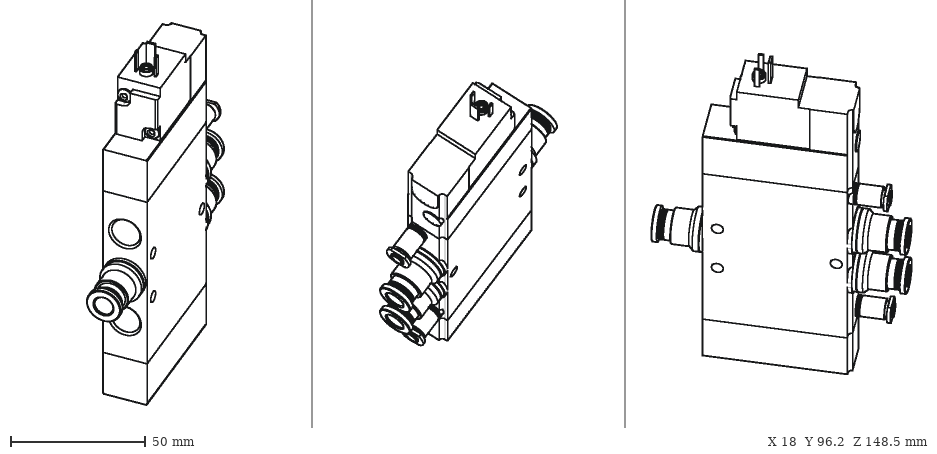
import cadquery as cq
import math


WIDTH = 18.0
DEPTH = 56.3
BLOCK_HEIGHT = 113.0
CAP_HEIGHT = 19.2
BODY_TOP = BLOCK_HEIGHT - CAP_HEIGHT
MID_Z = BLOCK_HEIGHT / 2
NOTCH_WIDTH = 2.8
NOTCH_DEPTH = 1.5
BOTTOM_CHAMFER = 0.5
TOP_CHAMFER = 0.3

PORT_PITCH = 20.0
PORT_DIAMETER = 11.5
PORT_RIM_DIAMETER = 13.2
PORT_RIM_DEPTH = 0.9
PORT_DEPTH = 13.4
MOUNT_DIAMETER = 4.5
FRONT_MOUNT_Y = 5.6
REAR_MOUNT_Y = 50.6
SEAT_DIAMETER = 18.1
SEAT_HEIGHT = 0.1

LARGE_LENGTH = 19.9
LARGE_FLANGE_DIAMETER = 17.0
LARGE_FLANGE_HEIGHT = 4.0
LARGE_GROOVE_DIAMETER = 16.3
LARGE_GROOVE_Y = 1.5
GROOVE_LENGTH = 0.3
LARGE_CONE_TOP = 5.6
LARGE_BARREL_DIAMETER = 13.8
LARGE_BARREL_TOP = 12.8
LARGE_BARREL_CHAMFER = 0.3
LARGE_NECK_DIAMETER = 11.5
LARGE_RIB_ROOT_DIAMETER = 10.7
LARGE_RIB_START = 15.5
LARGE_RIB_PITCH = 0.6
LARGE_RIB_COUNT = 3
LARGE_RING_DIAMETER = 13.8
LARGE_RING_START = 17.8
LARGE_RING_CHAMFER = 0.3
LARGE_BORE = 7.4
LARGE_BORE_MOUTH = 8.3
LARGE_BORE_DEPTH = 11.9
LARGE_INNER_BORE = 6.0
LARGE_INNER_BORE_DEPTH = 14.8

SMALL_DIAMETER = 8.0
SMALL_NECK_DIAMETER = 5.6
SMALL_LENGTH = 14.0
SMALL_BARREL_TOP = 10.8
SMALL_SPIGOT = NOTCH_DEPTH
SMALL_RING_WIDTH = 10.1
SMALL_RING_HEIGHT = 7.9
SMALL_RING_START = 12.0
SMALL_RING_END = 13.4
SMALL_GROOVE_STARTS = (0.5, 1.3)
SMALL_GROOVE_DEPTH = 0.22
SMALL_BORE = 4.2
SMALL_BORE_DEPTH = 8.9
SMALL_OFFSET_X = 3.3
SMALL_OFFSET_Z = 31.8

PILOT_CLEARANCE = 0.1
PILOT_TOP = 134.0
PILOT_SPLIT_Y = 40.5
PLUG_WIDTH = 17.4
PLUG_GAP = 0.5
PLUG_TOP = 137.8
PLUG_BACK_Y = 36.2
PLUG_FRONT_Y = 12.9
COVER_FRONT_Y = 10.2
COVER_BEVEL_DEPTH = 0.5
COVER_BEVEL_WIDTH = 0.9
POCKET_EDGE_X = 2.45
POCKET_EDGE_Z = 3.5
POCKET_RADIUS = 3.1

SCREW_X = 5.57
SCREW_Z = 6.75
SCREW_DIAMETER = 5.6
SCREW_TIP_DIAMETER = 3.0
SCREW_RIM = 0.6
SCREW_HEIGHT = 1.3
SCREW_SOCKET = 2.0

CONTACT_Y = 19.8
POST_DIAMETER = 5.0
POST_HEIGHT = 2.0
POST_COLLAR_DIAMETER = 4.2
POST_COLLAR_HEIGHT = 2.8
POST_HOLE = 2.0
POST_RECESS = 3.0
POST_RECESS_DEPTH = 0.6
SIDE_BLADE_X = 4.0
SIDE_BLADE_SIZE = (0.7, 2.0)
SIDE_BLADE_TOP = 146.4
EARTH_BLADE_Y = 24.0
EARTH_BLADE_SIZE = (3.4, 0.9)
EARTH_BLADE_TOP = 148.5

RELIEF = 0.5
OVERRIDE_DIAMETER = 8.0
OVERRIDE_X = -3.3
OVERRIDE_Z = 109.1
SLIDE_WIDTH = 11.9
SLIDE_BOTTOM = 118.8


def box(x0, x1, y0, y1, z0, z1):
    """Box between two corner points."""
    return cq.Workplane("XY").box(x1 - x0, y1 - y0, z1 - z0, centered=False).translate((x0, y0, z0))


def rod(diameter, x, z, y0, y1):
    """Cylinder along Y from y0 to y1."""
    return cq.Workplane("XZ", origin=(x, y0, z)).circle(diameter / 2).extrude(y0 - y1)


def notched_block(width, front_y, bottom, top):
    """Upright block whose two rear edges carry a concave notch."""
    half = width / 2
    inner = WIDTH / 2 - NOTCH_WIDTH
    rear = DEPTH - NOTCH_DEPTH
    flat = inner + NOTCH_DEPTH
    sag = NOTCH_DEPTH * math.sqrt(0.5)
    mid_x = flat - sag
    mid_y = DEPTH - sag
    return (
        cq.Workplane("XY", origin=(0, 0, bottom))
        .moveTo(-half, front_y)
        .lineTo(half, front_y)
        .lineTo(half, rear)
        .lineTo(flat, rear)
        .threePointArc((mid_x, mid_y), (inner, DEPTH))
        .lineTo(-inner, DEPTH)
        .threePointArc((-mid_x, mid_y), (-flat, rear))
        .lineTo(-half, rear)
        .close()
        .extrude(top - bottom)
    )


def make_body():
    """Valve body with fitting seats, front ports, fitting holes and mounting holes."""
    body = notched_block(WIDTH, 0, CAP_HEIGHT, BODY_TOP)
    block_limits = box(-WIDTH / 2, WIDTH / 2, 0, DEPTH + SEAT_HEIGHT, CAP_HEIGHT, BODY_TOP)
    for side in (-1, 1):
        seat_z = MID_Z + side * PORT_PITCH / 2
        seat = rod(SEAT_DIAMETER, 0, seat_z, DEPTH - NOTCH_DEPTH, DEPTH + SEAT_HEIGHT)
        body = body.union(seat.intersect(block_limits))
    for side in (-1, 1):
        port_z = MID_Z + side * PORT_PITCH
        body = body.cut(rod(PORT_DIAMETER, 0, port_z, 0, PORT_DEPTH))
        rim = cq.Solid.makeCone(
            PORT_RIM_DIAMETER / 2, PORT_DIAMETER / 2, PORT_RIM_DEPTH,
            cq.Vector(0, 0, port_z), cq.Vector(0, 1, 0),
        )
        body = body.cut(cq.Workplane(rim))
        small_z = MID_Z + side * SMALL_OFFSET_Z
        body = body.cut(rod(SMALL_DIAMETER, side * SMALL_OFFSET_X, small_z, DEPTH - SMALL_SPIGOT, DEPTH))
    mounts = [
        (FRONT_MOUNT_Y, MID_Z - PORT_PITCH / 2),
        (FRONT_MOUNT_Y, MID_Z + PORT_PITCH / 2),
        (REAR_MOUNT_Y, MID_Z),
    ]
    holes = cq.Workplane("YZ").pushPoints(mounts).circle(MOUNT_DIAMETER / 2).extrude(WIDTH, both=True)
    return body.cut(holes)


def make_lower_cap():
    """Lower end cap with its bottom side edges chamfered."""
    cap = notched_block(WIDTH, 0, 0, CAP_HEIGHT)
    return cap.faces("<X or >X").edges("<Z").chamfer(BOTTOM_CHAMFER)


def screw_head(x, z):
    """Conical screw head standing on the plug's front face and pointing to -Y."""
    profile = [
        (0, 0),
        (SCREW_DIAMETER / 2, 0),
        (SCREW_DIAMETER / 2, SCREW_RIM),
        (SCREW_TIP_DIAMETER / 2, SCREW_HEIGHT),
        (SCREW_SOCKET / 2, SCREW_RIM),
        (0, SCREW_RIM),
    ]
    head = cq.Workplane("XY").polyline(profile).close().revolve(360, (0, 0), (0, 1))
    return head.rotate((0, 0, 0), (0, 0, 1), 180).translate((x, PLUG_FRONT_Y, z))


def make_plug():
    """Connector half of the pilot with its stepped front cover and two screws."""
    half = PLUG_WIDTH / 2
    bottom = BLOCK_HEIGHT + PLUG_GAP
    mid_z = (bottom + PILOT_TOP) / 2
    plug = box(-half, half, PLUG_FRONT_Y, PLUG_BACK_Y, bottom, PLUG_TOP)
    plug = plug.union(box(-half, half, PLUG_BACK_Y, PILOT_SPLIT_Y, bottom, PILOT_TOP))
    cover_outline = [
        (-half, PLUG_FRONT_Y),
        (-half, COVER_FRONT_Y + COVER_BEVEL_DEPTH),
        (COVER_BEVEL_WIDTH - half, COVER_FRONT_Y),
        (half - COVER_BEVEL_WIDTH, COVER_FRONT_Y),
        (half, COVER_FRONT_Y + COVER_BEVEL_DEPTH),
        (half, PLUG_FRONT_Y),
    ]
    cover = cq.Workplane("XY", origin=(0, 0, bottom)).polyline(cover_outline).close()
    cover = cover.extrude(PILOT_TOP - bottom)
    reach = PILOT_TOP - bottom
    for side in (-1, 1):
        pocket = box(0, WIDTH, COVER_FRONT_Y, PLUG_FRONT_Y, -reach, 0)
        pocket = pocket.faces("<X").edges(">Z").fillet(POCKET_RADIUS)
        pocket = pocket.translate((POCKET_EDGE_X, 0, -POCKET_EDGE_Z))
        if side < 0:
            pocket = pocket.rotate((0, 0, 0), (0, 1, 0), 180)
        cover = cover.cut(pocket.translate((0, 0, mid_z)))
    plug = plug.union(cover)
    for side in (-1, 1):
        plug = plug.union(screw_head(side * SCREW_X, mid_z - side * SCREW_Z))
    return plug


def make_contacts():
    """Round post and three flat blades on top of the plug."""
    def blade(x, y, size, top):
        return box(x - size[0] / 2, x + size[0] / 2, y - size[1] / 2, y + size[1] / 2, PLUG_TOP, top)

    post = cq.Workplane("XY", origin=(0, CONTACT_Y, PLUG_TOP)).circle(POST_DIAMETER / 2).extrude(POST_HEIGHT)
    collar = post.faces(">Z").workplane().circle(POST_COLLAR_DIAMETER / 2)
    post = collar.extrude(POST_COLLAR_HEIGHT - POST_HEIGHT)
    post = post.faces(">Z").workplane().cboreHole(POST_HOLE, POST_RECESS, POST_RECESS_DEPTH, POST_HEIGHT)
    parts = [post, blade(0, EARTH_BLADE_Y, EARTH_BLADE_SIZE, EARTH_BLADE_TOP)]
    for side in (-1, 1):
        parts.append(blade(side * SIDE_BLADE_X, CONTACT_Y, SIDE_BLADE_SIZE, SIDE_BLADE_TOP))
    return parts


def make_pilot_head():
    """Upper cap with the pilot, its plug, contacts and manual override."""
    head = notched_block(WIDTH, 0, BODY_TOP, BLOCK_HEIGHT)
    head = head.faces("<X or >X").edges(">Z").chamfer(TOP_CHAMFER)
    pilot_width = WIDTH - 2 * PILOT_CLEARANCE
    head = head.union(notched_block(pilot_width, PILOT_SPLIT_Y, BLOCK_HEIGHT, PILOT_TOP))
    head = head.union(make_plug())
    for contact in make_contacts():
        head = head.union(contact)
    slide = box(
        -SLIDE_WIDTH / 2, SLIDE_WIDTH / 2, DEPTH - NOTCH_DEPTH, DEPTH + RELIEF, SLIDE_BOTTOM, PILOT_TOP
    )
    slide = slide.faces("<Z").edges("|Y").fillet(SLIDE_WIDTH / 2 - 0.1)
    override = rod(OVERRIDE_DIAMETER, OVERRIDE_X, OVERRIDE_Z, DEPTH - NOTCH_DEPTH, DEPTH + RELIEF)
    return head.union(slide).union(override)


def groove(outer, inner, start):
    """Ring that cuts a narrow groove around the Y axis."""
    return rod(outer, 0, 0, start, start + GROOVE_LENGTH).cut(rod(inner, 0, 0, start, start + GROOVE_LENGTH))


def make_large_fitting():
    """Large fitting, seat at the origin and mouth towards +Y."""
    flange = LARGE_FLANGE_DIAMETER / 2
    barrel = LARGE_BARREL_DIAMETER / 2
    neck = LARGE_NECK_DIAMETER / 2
    root = LARGE_RIB_ROOT_DIAMETER / 2
    ring = LARGE_RING_DIAMETER / 2
    mouth = LARGE_BORE_MOUTH / 2
    bore = LARGE_BORE / 2
    inner_bore = LARGE_INNER_BORE / 2
    rib_end = LARGE_RIB_START + LARGE_RIB_COUNT * LARGE_RIB_PITCH
    outline = [
        (0, 0),
        (flange, 0),
        (flange, LARGE_FLANGE_HEIGHT),
        (barrel, LARGE_CONE_TOP),
        (barrel, LARGE_BARREL_TOP - LARGE_BARREL_CHAMFER),
        (barrel - LARGE_BARREL_CHAMFER, LARGE_BARREL_TOP),
        (neck, LARGE_BARREL_TOP),
        (neck, rib_end),
        (root, rib_end),
        (root, LARGE_RING_START),
        (ring, LARGE_RING_START),
        (ring, LARGE_LENGTH - LARGE_RING_CHAMFER),
        (ring - LARGE_RING_CHAMFER, LARGE_LENGTH),
        (mouth, LARGE_LENGTH),
        (bore, LARGE_LENGTH - (mouth - bore)),
        (bore, LARGE_LENGTH - LARGE_BORE_DEPTH),
        (inner_bore, LARGE_LENGTH - LARGE_BORE_DEPTH),
        (inner_bore, LARGE_LENGTH - LARGE_INNER_BORE_DEPTH),
        (0, LARGE_LENGTH - LARGE_INNER_BORE_DEPTH),
    ]
    fitting = cq.Workplane("XY").polyline(outline).close().revolve(360, (0, 0), (0, 1))
    fitting = fitting.cut(groove(LARGE_FLANGE_DIAMETER, LARGE_GROOVE_DIAMETER, LARGE_GROOVE_Y))
    for index in range(LARGE_RIB_COUNT):
        start = LARGE_RIB_START + index * LARGE_RIB_PITCH
        fitting = fitting.cut(groove(LARGE_NECK_DIAMETER, LARGE_RIB_ROOT_DIAMETER, start))
    return fitting


def make_small_fitting():
    """Small fitting with an oval release ring, shoulder at the origin and mouth towards +Y."""
    barrel = rod(SMALL_DIAMETER, 0, 0, -SMALL_SPIGOT, SMALL_BARREL_TOP)
    for start in SMALL_GROOVE_STARTS:
        barrel = barrel.cut(groove(SMALL_DIAMETER, SMALL_DIAMETER - 2 * SMALL_GROOVE_DEPTH, start))
    neck = rod(SMALL_NECK_DIAMETER, 0, 0, SMALL_BARREL_TOP, SMALL_LENGTH)
    half_width = SMALL_RING_WIDTH / 2
    half_height = SMALL_RING_HEIGHT / 2
    ring = rod(SMALL_RING_WIDTH, 0, 0, SMALL_RING_START, SMALL_RING_END)
    flats = box(-half_width, half_width, SMALL_RING_START, SMALL_RING_END, -half_height, half_height)
    bore = rod(SMALL_BORE, 0, 0, SMALL_LENGTH - SMALL_BORE_DEPTH, SMALL_LENGTH)
    return barrel.union(neck).union(ring.intersect(flats)).cut(bore)


lower_cap = make_lower_cap()
body = make_body()
pilot_head = make_pilot_head()
fittings = [make_large_fitting().rotate((0, 0, 0), (0, 0, 1), 180).translate((0, 0, MID_Z))]
for side in (-1, 1):
    large_z = MID_Z + side * PORT_PITCH / 2
    small_z = MID_Z + side * SMALL_OFFSET_Z
    fittings.append(make_large_fitting().translate((0, DEPTH + SEAT_HEIGHT, large_z)))
    fittings.append(make_small_fitting().translate((side * SMALL_OFFSET_X, DEPTH, small_z)))

result = cq.Compound.makeCompound(
    [lower_cap.val(), body.val(), pilot_head.val(), *[fitting.val() for fitting in fittings]]
)